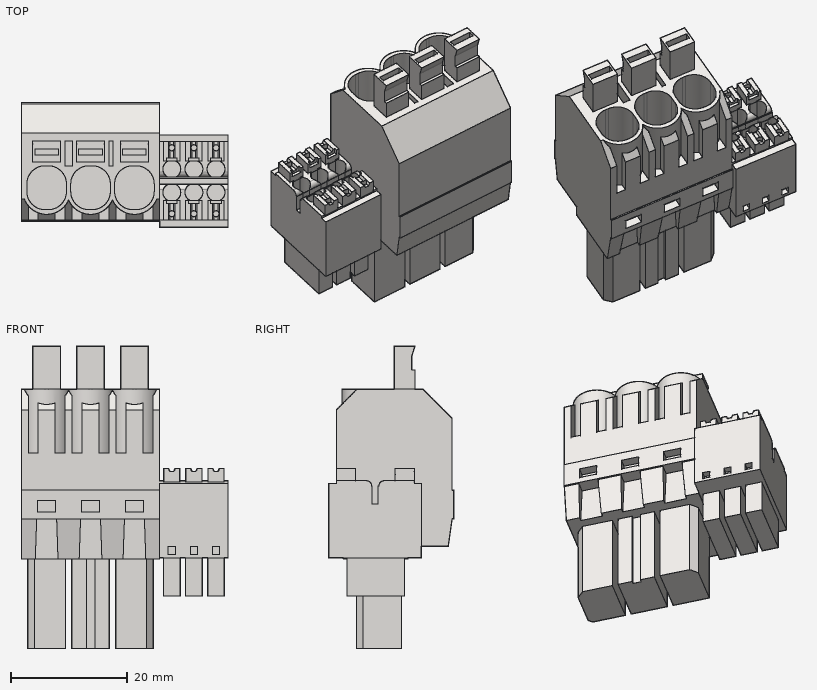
import cadquery as cq
import math


POLES = 3

power_width = 23.8
power_pitch = 7.55
power_front = 1.3
power_back = 21.25
power_bottom = 15.4
power_top = 44.7
front_chamfer = 3.6
back_chamfer = 5.05
band_bottom = 22.35
band_top = 27.3
band_front = 1.05
band_back = 21.5
taper_front = 2.5
taper_back = 20.6
step_height = 17.6
step_y = 13.65

funnel_radius = 4.1
funnel_y = 6.35
wire_hole_width = 6.85
wire_hole_length = 7.55
wire_hole_corner = 3.15
wire_hole_y = 6.85
wire_hole_depth = 15.65
relief_width = 6.3
relief_rib_width = 2.9
relief_bottom = 33.7

slit_widths = (1.3, 0.7)
slit_lefts = (7.5, 15.1)
slit_front = 10.55
slit_back = 14.85
slit_depth = 5.2
window_width = 3.1
window_bottom = 23.5
window_top = 25.55
window_depth = 1.55
skirt_recess_top_width = 3.45
skirt_recess_bottom_width = 3.9
skirt_recess_y = 3.25

plug_width = 6.5
plug_front = 4.75
plug_back = 12.55
plug_chamfer = 1.2
plug_back_chamfer = 0.6
plug_groove_width = 1.45
plug_groove_depth = 0.5

lever_width = 4.8
lever_front = 11.25
lever_back = 14.85
lever_top = 52.1
lever_notch_depth = 0.5
lever_notch_bottom = 48.0
lever_notch_top = 50.4
lever_slot_width = 4.05
lever_slot_front = 12.45
lever_slot_back = 13.5
lever_slot_depth = 2.6

signal_width = 11.8
signal_depth = 15.95
signal_bottom = 15.65
rim_top = 28.45
deck_top = 28.9
signal_pitch = 3.8
row_mid_y = 8.0
button_outer_y = 1.3
button_length = 3.35
button_width = 2.8
button_bottom = 28.65
button_top = 31.05
signal_hole_radius = 1.535
signal_hole_length = 2.75
signal_hole_depth = 6.25
lip_radius = 0.9
lip_start = 1.5
groove_front = 7.45
groove_back = 8.45
groove_depth = 3.15
signal_window_width = 1.25
signal_window_bottom = 16.25
signal_window_top = 17.6
signal_window_depth = 1.05
signal_plug_width = 2.9
signal_plug_front = 3.15
signal_plug_back = 13.1
signal_plug_tip = 9.05

driver_groove_top_width = 1.15
driver_groove_floor_width = 0.6
driver_groove_depth = 0.5
driver_hole_radius = 0.5
driver_hole_offset = 1.05
driver_hole_depth = 1.3
wire_notch_width = 1.8
wire_notch_length = 0.5
wire_notch_depth = 1.05

power_xs = [power_width / 2 + (i - (POLES - 1) / 2) * power_pitch for i in range(POLES)]
signal_mid_x = power_width + signal_width / 2
signal_xs = [signal_mid_x + (i - (POLES - 1) / 2) * signal_pitch for i in range(POLES)]


def block(x0, x1, y0, y1, z0, z1):
    """Box given by its limits along each axis."""
    return cq.Workplane("XY").box(x1 - x0, y1 - y0, z1 - z0, centered=False).translate((x0, y0, z0))


def centred_block(x, width, y0, y1, z0, z1):
    """Box centred on x."""
    return block(x - width / 2, x + width / 2, y0, y1, z0, z1)


def side_profile(points, x0, x1):
    """Prism along X from an outline of (y, z) points."""
    return cq.Workplane("YZ").polyline(points).close().extrude(x1 - x0).translate((x0, 0, 0))


def power_body():
    outline = [
        (taper_front, power_bottom),
        (power_front, band_bottom),
        (band_front, band_bottom),
        (band_front, band_top),
        (power_front, band_top),
        (power_front, power_top - front_chamfer),
        (power_front + front_chamfer, power_top),
        (power_back - back_chamfer, power_top),
        (power_back, power_top - back_chamfer),
        (power_back, band_top),
        (band_back, band_top),
        (band_back, band_bottom),
        (power_back, band_bottom),
        (taper_back, step_height),
        (step_y, step_height),
        (step_y, power_bottom),
    ]
    return side_profile(outline, 0, power_width)


def funnel(x):
    """Round wall that stands proud of the front chamfer."""
    return (
        cq.Workplane("XY", origin=(x, funnel_y, relief_bottom))
        .circle(funnel_radius)
        .extrude(power_top - relief_bottom)
    )


def funnel_relief(x):
    """Two slots in front of a funnel, one on each side of the rib."""
    slots = centred_block(x, relief_width, band_front, funnel_y, relief_bottom, power_top)
    rib = centred_block(x, relief_rib_width, band_front, funnel_y, relief_bottom, power_top)
    return slots.cut(rib)


def power_wire_hole(x):
    return (
        cq.Workplane("XY", origin=(x, wire_hole_y, power_top - wire_hole_depth))
        .rect(wire_hole_width, wire_hole_length)
        .extrude(wire_hole_depth)
        .edges("|Z")
        .fillet(wire_hole_corner)
    )


def skirt_recess(x):
    """Recess in the front taper, widening downwards."""
    top = skirt_recess_top_width / 2
    bottom = skirt_recess_bottom_width / 2
    return (
        cq.Workplane("XZ", origin=(x, skirt_recess_y, 0))
        .polyline([
            (-bottom, power_bottom),
            (bottom, power_bottom),
            (top, band_bottom),
            (-top, band_bottom),
        ])
        .close()
        .extrude(skirt_recess_y - band_front)
    )


def power_plug(index):
    """Plug with a chamfered outer corner at the ends of the row and a front groove in between."""
    x = power_xs[index]
    plug = centred_block(x, plug_width, plug_front, plug_back, 0, power_bottom)
    if index == 0:
        plug = plug.edges("|Z and <X and >Y").chamfer(plug_back_chamfer)
        return plug.edges("|Z and <X and <Y").chamfer(plug_chamfer)
    if index == POLES - 1:
        return plug.edges("|Z and >X and <Y").chamfer(plug_chamfer)
    return plug.cut(
        centred_block(x, plug_groove_width, plug_front, plug_front + plug_groove_depth, 0, power_bottom)
    )


def power_section():
    section = power_body()
    for index, x in enumerate(power_xs):
        section = section.cut(funnel_relief(x)).union(funnel(x)).union(power_plug(index))
    for x in power_xs:
        section = section.cut(power_wire_hole(x)).cut(skirt_recess(x))
        section = section.cut(
            centred_block(x, window_width, band_front, band_front + window_depth, window_bottom, window_top)
        )
    for left, width in zip(slit_lefts, slit_widths):
        section = section.cut(
            block(left, left + width, slit_front, slit_back, power_top - slit_depth, power_top)
        )
    return section


def signal_body():
    """Block with a raised deck, split by a round-lipped groove between the two rows."""
    lip_bottom = deck_top - lip_radius
    lip_middle = lip_bottom + lip_radius * math.sqrt(0.5)
    lip_middle_offset = lip_start - lip_radius * math.sqrt(0.5)
    lip_end = lip_start - lip_radius
    groove_floor = lip_bottom - groove_depth
    deck_back = 2 * row_mid_y - button_outer_y
    return (
        cq.Workplane("YZ")
        .moveTo(0, signal_bottom)
        .lineTo(0, rim_top)
        .lineTo(button_outer_y, rim_top)
        .lineTo(button_outer_y, deck_top)
        .lineTo(row_mid_y - lip_start, deck_top)
        .threePointArc((row_mid_y - lip_middle_offset, lip_middle), (row_mid_y - lip_end, lip_bottom))
        .lineTo(groove_front, lip_bottom)
        .lineTo(groove_front, groove_floor)
        .lineTo(groove_back, groove_floor)
        .lineTo(groove_back, lip_bottom)
        .lineTo(row_mid_y + lip_end, lip_bottom)
        .threePointArc((row_mid_y + lip_middle_offset, lip_middle), (row_mid_y + lip_start, deck_top))
        .lineTo(deck_back, deck_top)
        .lineTo(deck_back, rim_top)
        .lineTo(signal_depth, rim_top)
        .lineTo(signal_depth, signal_bottom)
        .close()
        .extrude(signal_width)
        .translate((power_width, 0, 0))
    )


def in_rows(shape):
    """The front-row shape and its copy turned half a turn for the back row."""
    turned = shape.rotate((0, row_mid_y, 0), (0, row_mid_y, 1), 180)
    return [shape, turned]


def at_signal_places(shape):
    """Copies of a front-row shape, built at x = 0, at all six places."""
    return [copy.translate((x, 0, 0)) for copy in in_rows(shape) for x in signal_xs]


def button_block():
    return centred_block(
        0, button_width, button_outer_y, button_outer_y + button_length, button_bottom, button_top
    )


def signal_wire_hole():
    """Round hole flattened at the front and back."""
    start = button_outer_y + button_length
    bottom = deck_top - signal_hole_depth
    drill = (
        cq.Workplane("XY", origin=(0, start + signal_hole_length / 2, bottom))
        .circle(signal_hole_radius)
        .extrude(signal_hole_depth)
    )
    limits = centred_block(
        0, 2 * signal_hole_radius, start, start + signal_hole_length, bottom, deck_top
    )
    return drill.intersect(limits)


def signal_section():
    section = signal_body()
    for pocket in at_signal_places(button_block()) + at_signal_places(signal_wire_hole()):
        section = section.cut(pocket)
    for x in signal_xs:
        section = section.union(
            centred_block(
                x, signal_plug_width, signal_plug_front, signal_plug_back, signal_plug_tip, signal_bottom
            )
        )
        section = section.cut(
            centred_block(
                x, signal_window_width, 0, signal_window_depth, signal_window_bottom, signal_window_top
            )
        )
    return section


def lever(x):
    """Release lever standing on the power section, with a finger notch and a driver slot."""
    notch_y = lever_back - lever_notch_depth
    outline = [
        (lever_front, power_top),
        (lever_back, power_top),
        (lever_back, lever_notch_bottom),
        (notch_y, lever_notch_bottom),
        (notch_y, lever_notch_top),
        (lever_back, lever_top),
        (lever_front, lever_top),
    ]
    slot = centred_block(
        x, lever_slot_width, lever_slot_front, lever_slot_back, lever_top - lever_slot_depth, lever_top
    )
    return side_profile(outline, x - lever_width / 2, x + lever_width / 2).cut(slot)


def push_button():
    """Front-row button at x = 0 with a flared driver groove, a round hole and a notch at the wire end."""
    inner_y = button_outer_y + button_length
    notch_y = inner_y - wire_notch_length
    half_top = driver_groove_top_width / 2
    half_floor = driver_groove_floor_width / 2
    groove_z = button_top - driver_groove_depth
    groove = (
        cq.Workplane("XZ", origin=(0, inner_y, 0))
        .polyline([
            (-half_top, button_top),
            (half_top, button_top),
            (half_floor, groove_z),
            (-half_floor, groove_z),
        ])
        .close()
        .extrude(button_length)
    )
    hole = (
        cq.Workplane("XY", origin=(0, button_outer_y + driver_hole_offset, button_top - driver_hole_depth))
        .circle(driver_hole_radius)
        .extrude(driver_hole_depth)
    )
    notch = centred_block(
        0, wire_notch_width, notch_y, inner_y, button_top - wire_notch_depth, button_top
    )
    return button_block().cut(groove).cut(hole).cut(notch)


housing = power_section().union(signal_section())
levers = [lever(x) for x in power_xs]
push_buttons = at_signal_places(push_button())

result = cq.Compound.makeCompound([body.solids().val() for body in [housing] + levers + push_buttons])